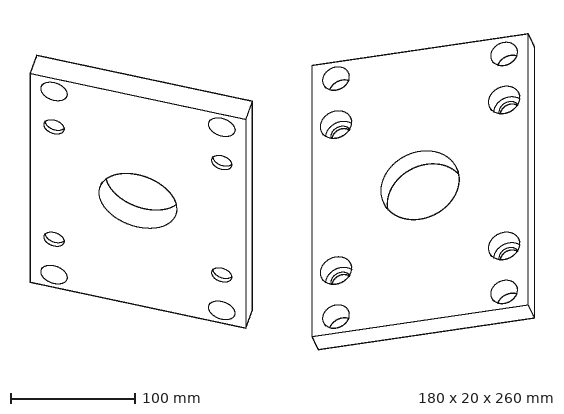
import cadquery as cq

width = 180.0
thickness = 20.0
height = 260.0

bore_diameter = 65.0
corner_hole_diameter = 22.0
inner_hole_diameter = 17.0
hole_spacing_x = 140.0
corner_hole_spacing_z = 228.0
inner_hole_spacing_z = hole_spacing_x

counterbore_diameter = 26.0
front_lip = 4.0
counterbore_depth = thickness - front_lip


def hole_pattern(plate, spacing_z):
    """Place four points on the back face, at the corners of a centred rectangle."""
    return (
        plate.faces(">Y")
        .workplane(centerOption="CenterOfBoundBox")
        .rect(hole_spacing_x, spacing_z, forConstruction=True)
        .vertices()
    )


plate = cq.Workplane("XY").box(width, thickness, height)
plate = plate.faces(">Y").workplane(centerOption="CenterOfBoundBox").hole(bore_diameter)
plate = hole_pattern(plate, corner_hole_spacing_z).hole(corner_hole_diameter)
plate = hole_pattern(plate, inner_hole_spacing_z).cboreHole(
    inner_hole_diameter, counterbore_diameter, counterbore_depth
)

result = plate